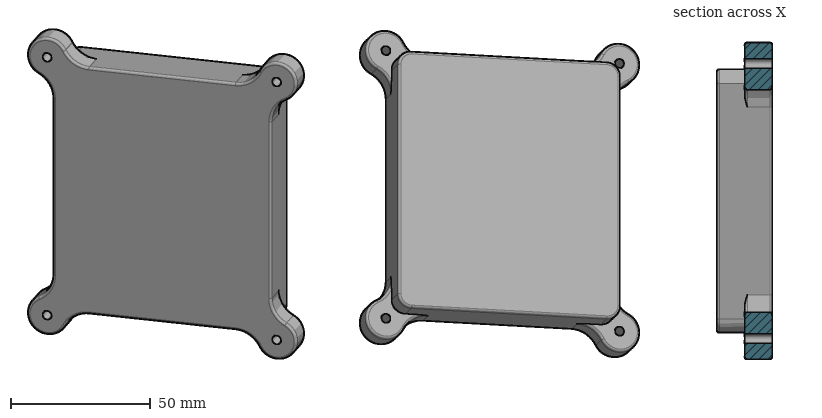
import cadquery as cq
import math

overall_width = 101.0
overall_height = 113.5
overall_depth = 20.0
lug_depth = overall_depth / 2
lug_radius = 7.5
lug_overhang = 2.0
neck_radius = 10.0
box_corner_radius = 5.0
edge_radius = 1.0
hole_diameter = 3.3

lug_x = overall_width / 2 - lug_radius
lug_z = overall_height / 2 - lug_radius
box_half_width = lug_x - lug_overhang
box_half_height = lug_z - lug_overhang

neck_across = neck_radius - lug_overhang
neck_along = math.sqrt((lug_radius + neck_radius) ** 2 - neck_across ** 2)


def lug_points():
    """Outline points of the top right lug, relative to its centre, running counterclockwise."""
    touch = lug_radius / (lug_radius + neck_radius)
    contact_angle = math.atan2(neck_along, neck_across)
    mid_angle = contact_angle / 2
    mid_along = neck_along - neck_radius * math.sin(mid_angle)
    mid_across = neck_across - neck_radius * math.cos(mid_angle)
    tip = lug_radius / math.sqrt(2)
    first_half = [
        (-lug_overhang, -neck_along),
        (mid_across, -mid_along),
        (neck_across * touch, -neck_along * touch),
    ]
    second_half = [(z, x) for x, z in reversed(first_half)]
    return first_half + [(tip, tip)] + second_half


def corner_points(side_x, side_z):
    """Outline points of the lug in the given corner, kept in counterclockwise order."""
    points = [(side_x * (lug_x + x), side_z * (lug_z + z)) for x, z in lug_points()]
    if side_x * side_z < 0:
        points.reverse()
    return points


def make_plate():
    """Front plate: the box outline with a necked lug at every corner."""
    corners = [corner_points(x, z) for x, z in [(1, 1), (-1, 1), (-1, -1), (1, -1)]]
    outline = cq.Workplane("XZ").moveTo(*corners[-1][-1])
    for start, neck_in_mid, lug_start, tip, lug_end, neck_out_mid, end in corners:
        outline = (
            outline.lineTo(*start)
            .threePointArc(neck_in_mid, lug_start)
            .threePointArc(tip, lug_end)
            .threePointArc(neck_out_mid, end)
        )
    plate = outline.close().extrude(-lug_depth)
    return plate.faces("<Y or >Y").edges().fillet(edge_radius)


def make_box():
    """Box behind the plate; it starts where the rounding of the front edge ends."""
    box = (
        cq.Workplane("XZ", origin=(0, edge_radius, 0))
        .rect(2 * box_half_width, 2 * box_half_height)
        .extrude(edge_radius - overall_depth)
    )
    box = box.edges("|Y").fillet(box_corner_radius)
    return box.faces(">Y").edges().fillet(edge_radius)


def make_lug_holes():
    """Through holes on the lug centres."""
    return (
        cq.Workplane("XZ")
        .rect(2 * lug_x, 2 * lug_z, forConstruction=True)
        .vertices()
        .circle(hole_diameter / 2)
        .extrude(-lug_depth)
    )


result = make_plate().union(make_box()).cut(make_lug_holes())